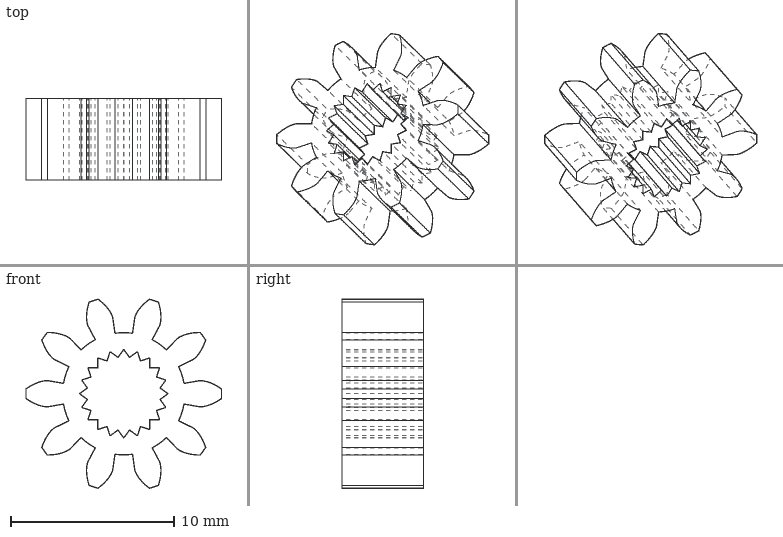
import cadquery as cq
import math

tip_diameter = 12.0
tooth_count = 10
pressure_angle = math.radians(20)
dedendum_factor = 1.25
face_width = 5.0

module = tip_diameter / (tooth_count + 2)
pitch_radius = module * tooth_count / 2
tip_radius = tip_diameter / 2
root_radius = pitch_radius - dedendum_factor * module
base_radius = pitch_radius * math.cos(pressure_angle)

serration_count = 20
bore_major_radius = 2.7
bore_minor_radius = 2.25


def involute(angle):
    return math.tan(angle) - angle


def polar(radius, angle):
    return (radius * math.cos(angle), radius * math.sin(angle))


def end_face_plane():
    """Plane of the +Y end face; extruding from it runs toward -Y."""
    return cq.Workplane("XZ", origin=(0, face_width / 2, 0))


tooth_pitch = 2 * math.pi / tooth_count
base_half_angle = tooth_pitch / 4 + involute(pressure_angle)
tip_roll = math.tan(math.acos(base_radius / tip_radius))
flank_steps = 10


def flank_points(centre, side):
    """Involute from the base circle to the tip; side is -1 or 1 about the tooth centreline."""
    points = []
    for step in range(flank_steps + 1):
        roll = tip_roll * step / flank_steps
        radius = base_radius * math.hypot(1, roll)
        half_angle = base_half_angle - (roll - math.atan(roll))
        points.append(polar(radius, centre + side * half_angle))
    return points


def gear_blank():
    """Involute teeth on radial roots, centred on the origin with the axis along Y."""
    outline = end_face_plane().moveTo(*polar(root_radius, -base_half_angle))
    for tooth in range(tooth_count):
        centre = tooth * tooth_pitch
        rising = flank_points(centre, -1)
        falling = flank_points(centre, 1)[::-1]
        root_middle = polar(root_radius, centre + tooth_pitch / 2)
        next_root = polar(root_radius, centre + tooth_pitch - base_half_angle)
        outline = (
            outline.lineTo(*rising[0])
            .spline(rising[1:], includeCurrent=True)
            .threePointArc(polar(tip_radius, centre), falling[0])
            .spline(falling[1:], includeCurrent=True)
            .lineTo(*polar(root_radius, centre + base_half_angle))
            .threePointArc(root_middle, next_root)
        )
    return outline.close().extrude(face_width)


def serrated_bore():
    """Star-shaped through bore with a groove pointing along each axis."""
    half_step = math.pi / serration_count
    points = []
    for serration in range(serration_count):
        angle = 2 * half_step * serration
        points.append(polar(bore_major_radius, angle))
        points.append(polar(bore_minor_radius, angle + half_step))
    return end_face_plane().polyline(points).close().extrude(face_width)


result = gear_blank().cut(serrated_bore())